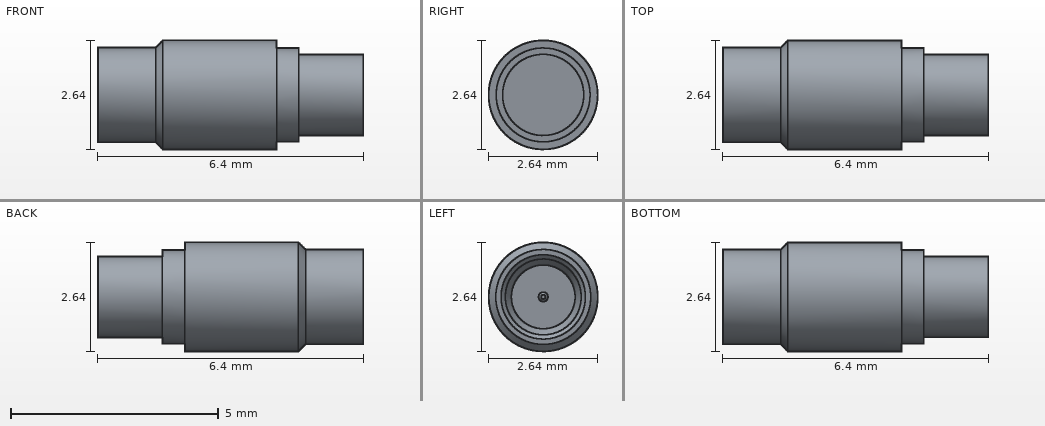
import cadquery as cq
import math

length = 6.4
body_radius = 1.32
socket_radius = 1.145
collar_radius = 1.13
tail_radius = 0.98
socket_end = 1.395
body_end = 4.31
collar_end = 4.845

mouth_radius = 1.02
throat_radius = 0.915
inner_radius = 0.77
mouth_depth = 0.11
throat_depth = 0.315
taper_angle = math.radians(30)
blend_radius = 0.32
floor_depth = 1.6

pin_radius = 0.115
pin_tip_radius = 0.05
pin_tip_x = 0.66
pin_taper = 0.11


def revolved(outline):
    """Close an outline of x and radius and turn it around the X axis."""
    return outline.close().revolve(360, (0, 0, 0), (1, 0, 0))


def turned(profile):
    """Turn a straight-sided outline of (x, radius) points."""
    return revolved(cq.Workplane("XY").polyline(profile))


def outer_body():
    chamfer = body_radius - socket_radius
    return turned([
        (0, 0),
        (0, socket_radius),
        (socket_end, socket_radius),
        (socket_end + chamfer, body_radius),
        (body_end, body_radius),
        (body_end, collar_radius),
        (collar_end, collar_radius),
        (collar_end, tail_radius),
        (length, tail_radius),
        (length, 0),
    ])


def socket_bore():
    def blend_point(angle):
        return (
            blend_end - blend_radius * math.sin(angle),
            inner_radius + blend_radius * (1 - math.cos(angle)),
        )

    taper_drop = throat_radius - inner_radius - blend_radius * (1 - math.cos(taper_angle))
    taper_end = throat_depth + taper_drop / math.tan(taper_angle)
    blend_end = taper_end + blend_radius * math.sin(taper_angle)

    outline = (
        cq.Workplane("XY")
        .lineTo(0, mouth_radius)
        .lineTo(mouth_depth, throat_radius)
        .lineTo(throat_depth, throat_radius)
        .lineTo(*blend_point(taper_angle))
        .threePointArc(blend_point(taper_angle / 2), (blend_end, inner_radius))
        .lineTo(floor_depth, inner_radius)
        .lineTo(floor_depth, 0)
    )
    return revolved(outline)


def contact_pin():
    return turned([
        (pin_tip_x, 0),
        (pin_tip_x, pin_tip_radius),
        (pin_tip_x + pin_taper, pin_radius),
        (collar_end, pin_radius),
        (collar_end, 0),
    ])


result = outer_body().cut(socket_bore()).union(contact_pin())